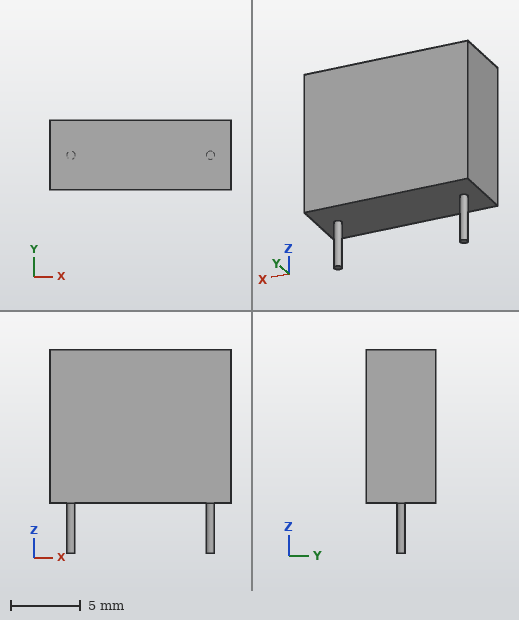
import cadquery as cq

body_length = 13.0
body_width = 5.0
total_height = 14.6
lead_length = 3.6
body_height = total_height - lead_length
lead_diameter = 0.6
lead_pitch = 10.0

body = cq.Workplane("XY").box(body_length, body_width, body_height, centered=(True, True, False))

leads = (
    cq.Workplane("XY")
    .pushPoints([(-lead_pitch / 2, 0), (lead_pitch / 2, 0)])
    .circle(lead_diameter / 2)
    .extrude(-lead_length)
)

result = body.union(leads)